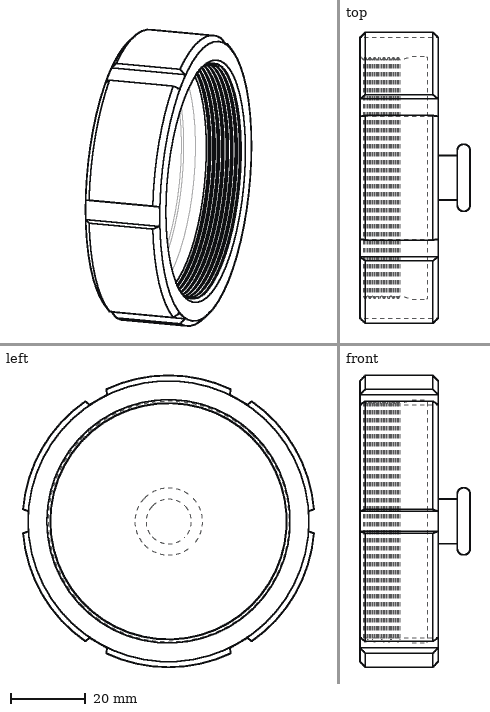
import cadquery as cq
import math

cap_length = 21.0
cap_radius = 39.0
rim_chamfer = 1.5

slot_count = 6
slot_floor_distance = cap_radius - rim_chamfer
slot_floor_width = 5.4
slot_wall_lean = 20.0

crest_radius = 31.5
thread_pitch = 1.25
thread_half_angle = 30.0
crest_width = thread_pitch / 8
root_width = thread_pitch / 4
flank_width = (thread_pitch - crest_width - root_width) / 2
root_radius = crest_radius + flank_width / math.tan(math.radians(thread_half_angle))
groove_count = 8
thread_end = 10.7

mouth_radius = 32.5
lead_in = 0.9

relief_radius = 32.5
relief_start = 14.2
socket_depth = 18.0
socket_floor_fillet = 0.5

stem_radius = 6.0
stem_length = 5.0
knob_radius = 9.0
knob_thickness = 3.5


def revolve_about_x(profile):
    """Turn a closed profile, drawn as (axial, radial) points, around the X axis."""
    return profile.close().revolve(360, (0, 0, 0), (1, 0, 0))


def make_cap_blank():
    shoulder = cap_radius - rim_chamfer
    profile = (
        cq.Workplane("XY")
        .moveTo(0, 0)
        .lineTo(0, shoulder)
        .lineTo(rim_chamfer, cap_radius)
        .lineTo(cap_length - rim_chamfer, cap_radius)
        .lineTo(cap_length, shoulder)
        .lineTo(cap_length, 0)
    )
    return revolve_about_x(profile)


def make_knob():
    knob_start = cap_length + stem_length
    knob_end = knob_start + knob_thickness
    edge_radius = knob_thickness / 2
    profile = (
        cq.Workplane("XY")
        .moveTo(socket_depth, 0)
        .lineTo(knob_end, 0)
        .lineTo(knob_end, knob_radius - edge_radius)
        .threePointArc(
            (knob_start + edge_radius, knob_radius),
            (knob_start, knob_radius - edge_radius),
        )
        .lineTo(knob_start, stem_radius)
        .lineTo(socket_depth, stem_radius)
    )
    return revolve_about_x(profile)


def make_socket():
    profile = (
        cq.Workplane("XY")
        .moveTo(0, 0)
        .lineTo(0, mouth_radius)
        .lineTo(lead_in, mouth_radius - lead_in)
    )
    for groove in range(groove_count):
        groove_end = thread_end - (groove_count - 1 - groove) * thread_pitch
        root_end = groove_end - flank_width
        root_start = root_end - root_width
        if groove > 0:
            profile = profile.lineTo(root_start - flank_width, crest_radius)
        profile = (
            profile.lineTo(root_start, root_radius)
            .lineTo(root_end, root_radius)
            .lineTo(groove_end, crest_radius)
        )

    fillet_inset = socket_floor_fillet * (1 - math.sqrt(0.5))
    profile = (
        profile.lineTo(relief_start, relief_radius)
        .lineTo(socket_depth - socket_floor_fillet, relief_radius)
        .threePointArc(
            (socket_depth - fillet_inset, relief_radius - fillet_inset),
            (socket_depth, relief_radius - socket_floor_fillet),
        )
        .lineTo(socket_depth, 0)
    )
    return revolve_about_x(profile)


def make_slot_cutter(angle):
    """Tapered slot along X, centred on +Y and then turned by angle degrees about X."""
    cutter_top = cap_radius + rim_chamfer
    floor_half = slot_floor_width / 2
    rise = cutter_top - slot_floor_distance
    top_half = floor_half + rise * math.tan(math.radians(slot_wall_lean))
    cutter = (
        cq.Workplane("YZ")
        .moveTo(slot_floor_distance, -floor_half)
        .lineTo(cutter_top, -top_half)
        .lineTo(cutter_top, top_half)
        .lineTo(slot_floor_distance, floor_half)
        .close()
        .extrude(cap_length)
    )
    return cutter.rotate((0, 0, 0), (1, 0, 0), angle)


result = make_cap_blank().union(make_knob()).cut(make_socket())
for slot in range(slot_count):
    result = result.cut(make_slot_cutter(slot * 360 / slot_count))